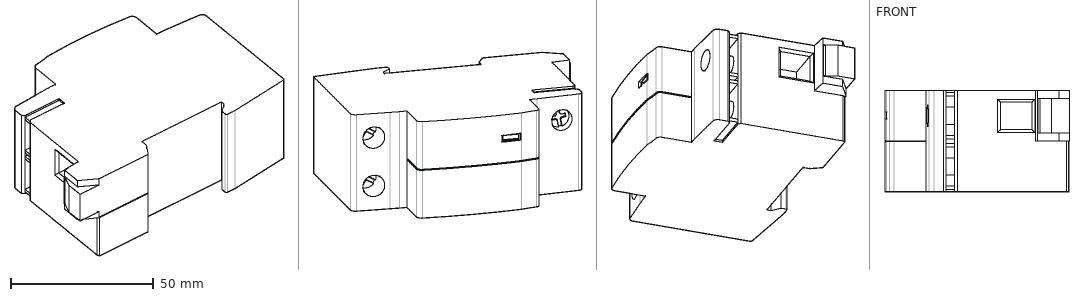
import cadquery as cq
import math


length = 93.5
depth = 65.0
height = 35.6
mid_z = height / 2
lower_pole_z = mid_z / 2
upper_pole_z = mid_z + lower_pole_z
pole_centers_z = [lower_pole_z, upper_pole_z]

body_end_y = 8.5
body_mid_y = (body_end_y + length) / 2
body_front_x = 14.5
body_bend_x = 14.7
body_corner_x = 15.6
flat_half_length = 25.2
bend_half_length = 28.7
body_front_radius = 1.9
lower_back_x = 64.7
back_bevel_x = 0.8
back_bevel_y = 0.5

rail_floor_x = 58.1
rail_low_y = 33.0
rail_high_y = 68.4
seat_ramp_x = 60.6
seat_ramp_y = 30.4
hook_root_x = 59.6
hook_tip_x = 62.3
hook_tip_y = 65.4
hook_back_x = 64.7
hook_shoulder_y = 69.4
hook_tip_radius = 0.6
far_back_x = 61.9

block_low_y = 28.5
block_high_y = 73.6
block_mid_y = (block_low_y + block_high_y) / 2
block_half_length = (block_high_y - block_low_y) / 2
nose_setback = 1.3
nose_step_y = 35.8
step_mid_x = 1.0
step_mid_y = 34.0
low_corner_x = 1.9
block_high_radius = 1.9
block_low_radius = 1.6
block_inner_x = 23.4
seam_width = 0.3
seam_depth = 0.3

window_gap = 0.1
window_length = 7.1
window_height = 2.4
window_z = 26.8
window_rim = 0.6
window_rim_depth = 0.4
window_depth = 1.4

clip_front_x = 53.0
clip_tip_front_x = 53.7
clip_tip_y = 1.9
clip_bevel_x = 61.15
clip_overlap = 1.9
tongue_height = 12.2
tongue_front_x = 53.9
tongue_front_y = 1.5
tongue_flat_x = 54.5
tongue_bevel_x = 58.6

pocket_x_min = 39.6
pocket_x_max = 52.7
pocket_z_min = 20.85
pocket_z_max = 32.5
pocket_rim = 1.0
pocket_depth = 14.0

groove_x_min = 21.5
groove_x_max = 24.6
groove_bevel = 0.9
groove_back_y = 24.6
cavity_half_height = 6.9
wall_outer_half_height = 8.1

screw_inset = 7.95
screw_near_y = body_end_y + screw_inset
screw_far_y = length - screw_inset
near_hole_diameter = 7.6
far_hole_diameter = 7.9
near_head_x = 19.1
far_head_x = 25.2
shank_diameter = 6.1
near_drive_angle = 80.0
far_drive_angle = 30.0
drive_arm_width = 1.3
drive_short_arm = 5.2
drive_core_size = 2.4
drive_depth = 0.9

cut_margin = 0.9


def box(x_min, x_max, y_min, y_max, z_min, z_max):
    """Axis-aligned box between the given limits."""
    size = (x_max - x_min, y_max - y_min, z_max - z_min)
    return cq.Workplane("XY").box(*size, centered=False).translate((x_min, y_min, z_min))


def x_cylinder(diameter, x_min, x_max, y, z):
    """Cylinder along X."""
    return cq.Workplane("YZ", origin=(x_min, y, z)).circle(diameter / 2).extrude(x_max - x_min)


def plate(points, z_min, z_max):
    """Straight-sided outline in XY, extruded between two heights."""
    return cq.Workplane("XY").workplane(offset=z_min).polyline(points).close().extrude(z_max - z_min)


def round_upright_edge(solid, x, y, radius):
    """Fillet the vertical edge nearest to (x, y)."""
    nearest = cq.selectors.NearestToPointSelector((x, y, mid_z))
    return solid.edges("|Z").edges(nearest).fillet(radius)


def make_body():
    """Housing profile with the rail seat and fixed hook along its back."""
    outline = [
        (body_corner_x, body_end_y),
        (body_front_x, body_mid_y - flat_half_length),
        (body_front_x, body_mid_y + flat_half_length),
        (body_bend_x, body_mid_y + bend_half_length),
        (body_corner_x, length),
        (far_back_x, length),
        (hook_back_x, hook_shoulder_y),
        (hook_back_x, hook_tip_y),
        (hook_tip_x, hook_tip_y),
        (hook_root_x, rail_high_y),
        (rail_floor_x, rail_high_y),
        (rail_floor_x, rail_low_y),
        (seat_ramp_x, rail_low_y),
        (depth, seat_ramp_y),
        (depth, body_end_y),
    ]
    body = plate(outline, 0, height)
    rounded_corners = [
        (body_corner_x, body_end_y, body_front_radius),
        (body_corner_x, length, body_front_radius),
        (far_back_x, length, hook_tip_radius),
        (hook_back_x, hook_tip_y, hook_tip_radius),
    ]
    for x, y, radius in rounded_corners:
        body = round_upright_edge(body, x, y, radius)

    trim = plate(
        [
            (lower_back_x - back_bevel_x, body_end_y),
            (lower_back_x, body_end_y + back_bevel_y),
            (lower_back_x, rail_low_y),
            (depth, rail_low_y),
            (depth, body_end_y),
        ],
        0,
        mid_z,
    )
    return body.cut(trim)


def nose_arc_x(y):
    """Front face position on the nose arc, symmetric about the block middle."""
    radius = (block_half_length**2 + nose_setback**2) / (2 * nose_setback)
    return radius - math.sqrt(radius**2 - (y - block_mid_y) ** 2)


def make_front_block():
    """Curved-nose block standing out of the body front."""
    block = (
        cq.Workplane("XY")
        .moveTo(block_inner_x, block_high_y)
        .lineTo(nose_setback, block_high_y)
        .threePointArc((0, block_mid_y), (nose_arc_x(nose_step_y), nose_step_y))
        .threePointArc((step_mid_x, step_mid_y), (low_corner_x, block_low_y))
        .lineTo(block_inner_x, block_low_y)
        .close()
        .extrude(height)
    )
    block = round_upright_edge(block, nose_setback, block_high_y, block_high_radius)
    block = round_upright_edge(block, low_corner_x, block_low_y, block_low_radius)

    seam_core = block.faces(">Z").wires().toPending().offset2D(-seam_depth).extrude(-height, combine=False)
    seam_slab = box(-cut_margin, depth, 0, length, mid_z - seam_width / 2, mid_z + seam_width / 2)
    return block.cut(seam_slab.cut(seam_core))


def make_window():
    """Rimmed recess in the nose, ending at the nose step."""
    y_min = nose_step_y + window_gap
    y_max = y_min + window_length
    z_min = window_z - window_height / 2
    z_max = window_z + window_height / 2
    face_x = nose_arc_x(nose_step_y)
    rim = box(-cut_margin, face_x + window_rim_depth, y_min, y_max, z_min, z_max)
    recess = box(
        -cut_margin, face_x + window_depth,
        y_min + window_rim, y_max - window_rim, z_min + window_rim / 2, z_max - window_rim / 2,
    )
    return rim.union(recess)


def make_clip():
    """Clip foot on the upper pole with its narrower spring tongue."""
    clip_root_y = body_end_y + clip_overlap
    foot = plate(
        [
            (clip_front_x, clip_root_y),
            (clip_front_x, body_end_y),
            (clip_tip_front_x, clip_tip_y),
            (clip_bevel_x, clip_tip_y),
            (depth, body_end_y),
            (depth, clip_root_y),
        ],
        mid_z,
        height,
    )
    tongue = plate(
        [
            (tongue_front_x, clip_tip_y),
            (tongue_front_x, tongue_front_y),
            (tongue_flat_x, tongue_front_y),
            (tongue_bevel_x, 0),
            (depth, 0),
            (depth, body_end_y),
            (clip_bevel_x, clip_tip_y + clip_overlap),
            (tongue_front_x, clip_tip_y + clip_overlap),
        ],
        upper_pole_z - tongue_height / 2,
        upper_pole_z + tongue_height / 2,
    )
    return foot.union(tongue)


def make_pocket():
    """Rectangular pocket in the end face, with a 45 degree rim."""
    x_size = pocket_x_max - pocket_x_min
    z_size = pocket_z_max - pocket_z_min
    well_x_size = x_size - 2 * pocket_rim
    well_z_size = z_size - 2 * pocket_rim
    center_x = (pocket_x_min + pocket_x_max) / 2
    center_z = (pocket_z_min + pocket_z_max) / 2
    mouth = cq.Workplane("XZ", origin=(center_x, body_end_y, center_z))
    rim = (
        mouth.rect(x_size, z_size)
        .workplane(offset=-pocket_rim)
        .rect(well_x_size, well_z_size)
        .loft(ruled=True)
    )
    well = mouth.rect(well_x_size, well_z_size).extrude(-pocket_depth)
    return rim.union(well)


def make_terminal_groove():
    """Bevelled groove up the end face, left with the hollow terminal walls of both poles."""
    wall_y = body_end_y + groove_bevel
    bevel = plate(
        [
            (groove_x_min - groove_bevel, body_end_y),
            (groove_x_min, wall_y),
            (groove_x_max, wall_y),
            (groove_x_max + groove_bevel, body_end_y),
        ],
        0,
        height,
    )
    slot = box(groove_x_min, groove_x_max, body_end_y, groove_back_y, 0, height)
    for z in pole_centers_z:
        wall = box(
            groove_x_min, groove_x_max, wall_y, groove_back_y,
            z - wall_outer_half_height, z + wall_outer_half_height,
        )
        cavity = box(
            groove_x_min, groove_x_max, wall_y, groove_back_y,
            z - cavity_half_height, z + cavity_half_height,
        )
        shank = x_cylinder(shank_diameter, groove_x_min, groove_x_max, screw_near_y, z)
        slot = slot.cut(wall.cut(cavity)).cut(shank)
    return bevel.union(slot)


def make_screw_hole(diameter, head_x, drive_angle, y, z):
    """Round hole down to a screw head, with the cross drive cut into the head."""
    hole = x_cylinder(diameter, 0, head_x, y, z)
    head = cq.Workplane("YZ", origin=(head_x, y, z)).transformed(rotate=(0, 0, drive_angle))
    long_arm = head.rect(diameter, drive_arm_width).extrude(drive_depth)
    short_arm = head.rect(drive_arm_width, drive_short_arm).extrude(drive_depth)
    core = head.transformed(rotate=(0, 0, 45)).rect(drive_core_size, drive_core_size).extrude(drive_depth)
    drive = long_arm.union(short_arm).union(core)
    head_disc = x_cylinder(diameter, head_x, head_x + drive_depth, y, z)
    return hole.union(drive.intersect(head_disc))


result = make_body().union(make_front_block()).union(make_clip())
result = result.cut(make_window()).cut(make_pocket()).cut(make_terminal_groove())

near_hole = make_screw_hole(near_hole_diameter, near_head_x, near_drive_angle, screw_near_y, upper_pole_z)
result = result.cut(near_hole)
for screw_z in pole_centers_z:
    far_hole = make_screw_hole(far_hole_diameter, far_head_x, far_drive_angle, screw_far_y, screw_z)
    result = result.cut(far_hole)